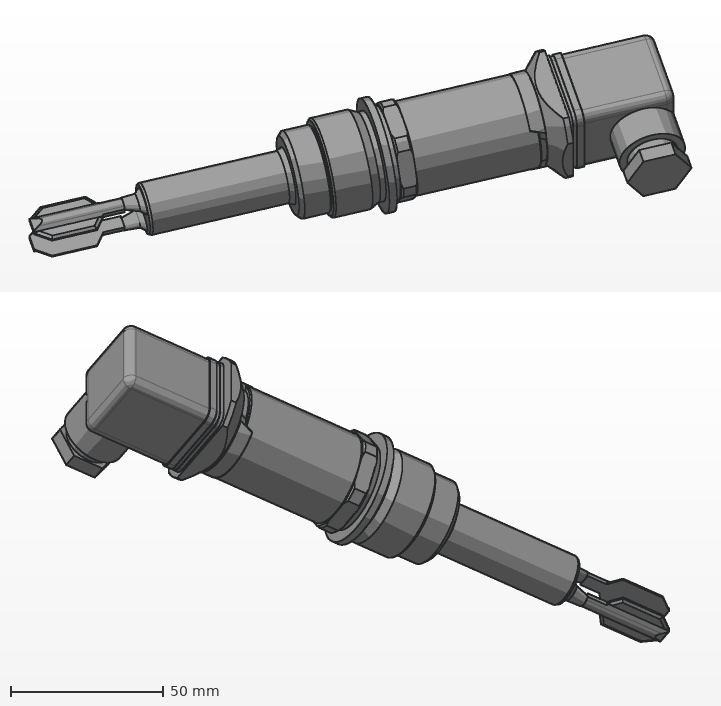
import cadquery as cq
import math

LENGTH = 216.0

TUBE_END = 38.0
ROD_END = 31.0
SHOULDER_START = 23.8
SHOULDER_FULL = 20.3
TIP_FULL = 5.0
PADDLE_HALF_WIDTH = 7.0
TIP_HALF_WIDTH = 2.8
BEVEL_WIDTH = 1.0
EDGE_HEIGHT = 0.6
PLATE_HEIGHT = 1.3
FORK_INNER = 4.0
FORK_OUTER = 7.1
ROD_HALF_WIDTH = 2.4
STEM_MIDDLE = 36.0
STEM_MIDDLE_Z = 4.5
STEM_MIDDLE_HALF_WIDTH = 3.5
STEM_MIDDLE_HALF_HEIGHT = 2.0
STEM_ROOT_Z = 4.5
STEM_ROOT_HALF_WIDTH = 5.5
STEM_ROOT_HALF_HEIGHT = 2.8
RIB_BASE_HALF_WIDTH = 2.8
RIB_TOP_HALF_WIDTH = 1.5
RIB_SIDE_HEIGHT = 2.4
TIP_BEVEL_LENGTH = 3.5
TIP_HEIGHT = 1.5

PROBE_RADIUS = 8.9
PROBE_EDGE_WIDTH = 0.5
PROBE_EDGE_LENGTH = 0.9
NECK_TAPER_START = 85.5
NECK_TAPER_RADIUS = 9.7
NOSE_START = 87.5
NOSE_RADIUS = 15.0
NOSE_CHAMFER = 1.5
UNDERCUT_RADIUS = 14.3
UNDERCUT_WIDTH = 0.6
THREAD_START = 98.5
THREAD_RADIUS = 16.8
THREAD_EDGE = 0.6
THREAD_TAPER = 111.7
RELIEF_START = 114.7
RELIEF_RADIUS = 15.3
DISC_START = 116.6
DISC_END = 119.2
DISC_RADIUS = 19.5
HEX_START = 121.5
HEX_END = 127.0
HEX_FLATS = 32.5
HEX_CORNER_RADIUS = 17.5
HEX_CORNER_CHAMFER = 0.6
BODY_RADIUS = 16.0
BODY_END = 169.8
BODY_EDGE = 0.5
CAP_NECK_RADIUS = 14.5

CAP_START = 172.0
CAP_RIM_START = 177.5
CAP_END = 179.5
CAP_WIDTH = 38.9
CAP_HEIGHT = 32.2
CAP_START_RADIUS = 15.3
CAP_CORNER_RADIUS = 21.4
TAB_END = 166.8
TAB_RADIUS = 16.2
TAB_WIDTH = 24.2
TAB_BASE_WIDTH = 26.8

SEAL_END = 180.8
GROOVE_END = 182.0
GROOVE_DEPTH = 0.5
COLLAR_END = 184.7
COLLAR_SIDE = 29.5
HOUSING_SIDE = 28.3
HOUSING_CORNER = 3.2
HOUSING_END_ROUND = 3.0

GLAND_RADIUS = 11.2
GLAND_Y = LENGTH - GLAND_RADIUS
GLAND_END = 25.3
GLAND_NECK_RADIUS = 8.6
NUT_START = 28.7
NUT_END = 33.7
NUT_FLATS = 19.0

ROOT3 = 3 ** 0.5


def across_corners(flats):
    return 2 * flats / ROOT3


def cross_section(y):
    """Sketch plane across the long axis at the given Y; its vertical is Z and sketches grow toward +Y."""
    return cq.Workplane(cq.Plane(origin=(0, y, 0), xDir=(-1, 0, 0), normal=(0, 1, 0)))


def disc(start, end, radius):
    return cross_section(start).circle(radius).extrude(end - start)


def block(start, end, width, height):
    return cross_section(start).rect(width, height).extrude(end - start)


def turned_body():
    outline = [
        (0, TUBE_END),
        (PROBE_RADIUS - PROBE_EDGE_WIDTH, TUBE_END),
        (PROBE_RADIUS, TUBE_END + PROBE_EDGE_LENGTH),
        (PROBE_RADIUS, NECK_TAPER_START),
        (NECK_TAPER_RADIUS, NOSE_START),
        (NOSE_RADIUS - NOSE_CHAMFER, NOSE_START),
        (NOSE_RADIUS, NOSE_START + NOSE_CHAMFER),
        (NOSE_RADIUS, THREAD_START - UNDERCUT_WIDTH),
        (UNDERCUT_RADIUS, THREAD_START - UNDERCUT_WIDTH),
        (UNDERCUT_RADIUS, THREAD_START),
        (THREAD_RADIUS - THREAD_EDGE, THREAD_START),
        (THREAD_RADIUS, THREAD_START + THREAD_EDGE),
        (THREAD_RADIUS, THREAD_TAPER),
        (RELIEF_RADIUS, RELIEF_START),
        (RELIEF_RADIUS, DISC_START),
        (DISC_RADIUS, DISC_START),
        (DISC_RADIUS, DISC_END),
        (RELIEF_RADIUS, DISC_END),
        (BODY_RADIUS, HEX_START),
        (BODY_RADIUS, BODY_END - BODY_EDGE),
        (BODY_RADIUS - BODY_EDGE, BODY_END),
        (CAP_NECK_RADIUS, BODY_END),
        (CAP_NECK_RADIUS, CAP_START),
        (0, CAP_START),
    ]
    return cq.Workplane("XY").polyline(outline).close().revolve(360, (0, 0, 0), (0, 1, 0))


def wrench_hexagon():
    hexagon = cross_section(HEX_START).polygon(6, across_corners(HEX_FLATS)).extrude(HEX_END - HEX_START)
    limit = disc(HEX_START, HEX_END, HEX_CORNER_RADIUS).edges().chamfer(HEX_CORNER_CHAMFER)
    return hexagon.intersect(limit)


def cap_flange():
    flange = block(CAP_START, CAP_END, CAP_WIDTH, CAP_HEIGHT)
    outline = [
        (0, CAP_START),
        (CAP_START_RADIUS, CAP_START),
        (CAP_CORNER_RADIUS, CAP_RIM_START),
        (CAP_CORNER_RADIUS, CAP_END),
        (0, CAP_END),
    ]
    cone = cq.Workplane("XY").polyline(outline).close().revolve(360, (0, 0, 0), (0, 1, 0))
    return flange.intersect(cone)


def locking_tabs():
    """Two tapered tabs, on the +Z and -Z sides, bridging the neck between cap and body."""
    outline = [
        (-TAB_WIDTH / 2, TAB_END),
        (TAB_WIDTH / 2, TAB_END),
        (TAB_BASE_WIDTH / 2, CAP_START),
        (-TAB_BASE_WIDTH / 2, CAP_START),
    ]
    wedge = cq.Workplane("XY").polyline(outline).close().extrude(TAB_RADIUS, both=True)
    return wedge.intersect(disc(TAB_END, CAP_START, TAB_RADIUS))


def housing():
    groove_side = COLLAR_SIDE - 2 * GROOVE_DEPTH
    shell = block(COLLAR_END, LENGTH, HOUSING_SIDE, HOUSING_SIDE)
    shell = shell.edges("|Y").fillet(HOUSING_CORNER).faces(">Y").edges().fillet(HOUSING_END_ROUND)
    steps = [
        (CAP_END, SEAL_END, COLLAR_SIDE),
        (SEAL_END, GROOVE_END, groove_side),
        (GROOVE_END, COLLAR_END, COLLAR_SIDE),
    ]
    for start, end, side in steps:
        corner = HOUSING_CORNER + (side - HOUSING_SIDE) / 2
        shell = shell.union(block(start, end, side, side).edges("|Y").fillet(corner))
    return shell


def cable_gland():
    axis = cq.Workplane("YZ", origin=(0, GLAND_Y, 0))
    sleeve = axis.circle(GLAND_RADIUS).extrude(GLAND_END)
    neck = axis.circle(GLAND_NECK_RADIUS).extrude(NUT_START)
    nut = axis.workplane(offset=NUT_START).polygon(6, across_corners(NUT_FLATS)).extrude(NUT_END - NUT_START)
    return sleeve.union(neck).union(nut)


def extrude_paddle_outline(height):
    """Rod and paddle seen along Z, extruded outward from the flat inner face."""
    right = [
        (TIP_HALF_WIDTH, 0),
        (PADDLE_HALF_WIDTH, TIP_FULL),
        (PADDLE_HALF_WIDTH, SHOULDER_FULL),
        (ROD_HALF_WIDTH, SHOULDER_START),
        (ROD_HALF_WIDTH, ROD_END),
    ]
    left = [(-x, y) for x, y in reversed(right)]
    outline = cq.Workplane("XY", origin=(0, 0, FORK_INNER)).polyline(right + left).close()
    return outline.extrude(height)


def paddle():
    plate = extrude_paddle_outline(EDGE_HEIGHT)
    bevel_height = PLATE_HEIGHT - EDGE_HEIGHT
    bevel_angle = math.degrees(math.atan2(BEVEL_WIDTH, bevel_height))
    bevel = plate.faces(">Z").wires().toPending().extrude(bevel_height, combine=False, taper=bevel_angle)
    return plate.union(bevel)


def rib():
    """Crowned rib with sloping sides along the rod and the paddle, bevelled off at the tip."""
    side_top = FORK_INNER + RIB_SIDE_HEIGHT
    profile = (
        cross_section(0)
        .moveTo(-RIB_BASE_HALF_WIDTH, FORK_INNER)
        .lineTo(RIB_BASE_HALF_WIDTH, FORK_INNER)
        .lineTo(RIB_BASE_HALF_WIDTH, FORK_INNER + PLATE_HEIGHT)
        .lineTo(RIB_TOP_HALF_WIDTH, side_top)
        .threePointArc((0, FORK_OUTER), (-RIB_TOP_HALF_WIDTH, side_top))
        .lineTo(-RIB_BASE_HALF_WIDTH, FORK_INNER + PLATE_HEIGHT)
        .close()
    )
    side_outline = [
        (0, FORK_INNER),
        (ROD_END, FORK_INNER),
        (ROD_END, FORK_OUTER),
        (TIP_BEVEL_LENGTH, FORK_OUTER),
        (0, FORK_INNER + TIP_HEIGHT),
    ]
    side_limit = cq.Workplane("YZ").polyline(side_outline).close().extrude(PADDLE_HALF_WIDTH, both=True)
    height_limit = extrude_paddle_outline(FORK_OUTER - FORK_INNER)
    return profile.extrude(ROD_END).intersect(side_limit).intersect(height_limit)


def stem():
    """Two flattened tapers that join the rod to the probe tube."""
    rod_half_height = (FORK_OUTER - FORK_INNER) / 2
    rod_z = FORK_INNER + rod_half_height
    tapers = cq.Workplane("XY")
    sections = [
        (ROD_END, rod_z, ROD_HALF_WIDTH, rod_half_height),
        (STEM_MIDDLE, STEM_MIDDLE_Z, STEM_MIDDLE_HALF_WIDTH, STEM_MIDDLE_HALF_HEIGHT),
        (TUBE_END, STEM_ROOT_Z, STEM_ROOT_HALF_WIDTH, STEM_ROOT_HALF_HEIGHT),
    ]
    for front, back in zip(sections, sections[1:]):
        rings = [
            cross_section(y).center(0, z).ellipse(half_width, half_height).wires().val()
            for y, z, half_width, half_height in (front, back)
        ]
        tapers = tapers.add(cq.Solid.makeLoft(rings, True))
    return tapers.combine()


def fork():
    tine = paddle().union(rib()).union(stem())
    return tine.union(tine.mirror("XY"))


result = (
    turned_body()
    .union(wrench_hexagon())
    .union(cap_flange())
    .union(locking_tabs())
    .union(housing())
    .union(cable_gland())
    .union(fork())
)